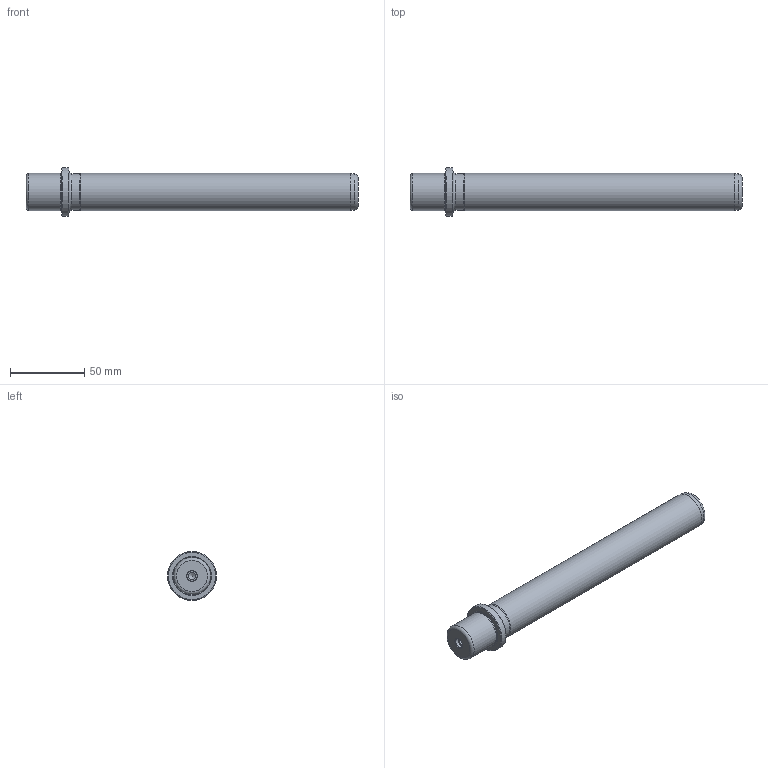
import cadquery as cq
import math

LENGTH = 224.0
PILLAR_DIA = 25.0
FLANGE_DIA = 33.0

FLANGE_START = 24.0
FLANGE_END = 29.0
RELIEF_END = 37.0
TIP_START = 219.0

TIP_TAPER = 0.25
END_ROUND = 2.0
TIP_ROUND = 2.5
FLANGE_CHAMFER = 0.5
UNDERCUT_WIDTH = 0.9
UNDERCUT_DEPTH = 0.4
FACE_UNDERCUT = 0.2
FACE_UNDERCUT_RISE = 0.7
RELIEF_DEPTH = 0.25
FLANGE_FILLET = 2.0
RELIEF_RUNOUT = 0.7

AXIAL_DIA = 5.0
AXIAL_DEPTH = 12.0
COUNTERBORE_DIA = 6.9
COUNTERBORE_DEPTH = 2.6
COUNTERBORE_CHAMFER = 0.4
DRILL_POINT_ANGLE = 118.0


def turned_body():
    """Pillar, flange and reliefs as one revolved half profile (x along axis, y as radius)."""
    radius = PILLAR_DIA / 2
    tip_radius = radius - TIP_TAPER
    undercut_radius = radius - UNDERCUT_DEPTH
    relief_radius = radius - RELIEF_DEPTH
    flange_radius = FLANGE_DIA / 2
    diagonal = math.cos(math.radians(45))
    undercut_start = FLANGE_START - UNDERCUT_WIDTH
    fillet_end = FLANGE_END + FLANGE_FILLET
    fillet_mid = FLANGE_FILLET * (1 - diagonal)
    end_mid = END_ROUND * (1 - diagonal)
    tip_mid = TIP_ROUND * (1 - diagonal)

    profile = (
        cq.Workplane("XZ")
        .lineTo(0, radius - END_ROUND)
        .threePointArc((end_mid, radius - end_mid), (END_ROUND, radius))
        .lineTo(undercut_start, radius)
        .lineTo(undercut_start + UNDERCUT_DEPTH, undercut_radius)
        .lineTo(FLANGE_START + FACE_UNDERCUT, undercut_radius)
        .lineTo(FLANGE_START + FACE_UNDERCUT, radius)
        .lineTo(FLANGE_START, radius + FACE_UNDERCUT_RISE)
        .lineTo(FLANGE_START, flange_radius - FLANGE_CHAMFER)
        .lineTo(FLANGE_START + FLANGE_CHAMFER, flange_radius)
        .lineTo(FLANGE_END - FLANGE_CHAMFER, flange_radius)
        .lineTo(FLANGE_END, flange_radius - FLANGE_CHAMFER)
        .lineTo(FLANGE_END, relief_radius + FLANGE_FILLET)
        .threePointArc((FLANGE_END + fillet_mid, relief_radius + fillet_mid), (fillet_end, relief_radius))
        .lineTo(RELIEF_END - RELIEF_RUNOUT, relief_radius)
        .lineTo(RELIEF_END, radius)
        .lineTo(TIP_START, radius)
        .lineTo(LENGTH - TIP_ROUND, tip_radius)
        .threePointArc((LENGTH - tip_mid, tip_radius - tip_mid), (LENGTH, tip_radius - TIP_ROUND))
        .lineTo(LENGTH, 0)
        .close()
    )
    return profile.revolve(360, (0, 0, 0), (1, 0, 0))


def axial_hole():
    """Counterbored blind hole with a drill point, opening at the x = 0 face."""
    hole_radius = AXIAL_DIA / 2
    bore_radius = COUNTERBORE_DIA / 2
    point_length = hole_radius / math.tan(math.radians(DRILL_POINT_ANGLE / 2))
    half = (
        cq.Workplane("XZ")
        .lineTo(0, bore_radius + COUNTERBORE_CHAMFER)
        .lineTo(COUNTERBORE_CHAMFER, bore_radius)
        .lineTo(COUNTERBORE_DEPTH, bore_radius)
        .lineTo(COUNTERBORE_DEPTH, hole_radius)
        .lineTo(AXIAL_DEPTH, hole_radius)
        .lineTo(AXIAL_DEPTH + point_length, 0)
        .close()
    )
    return half.revolve(360, (0, 0, 0), (1, 0, 0))


result = turned_body().cut(axial_hole())